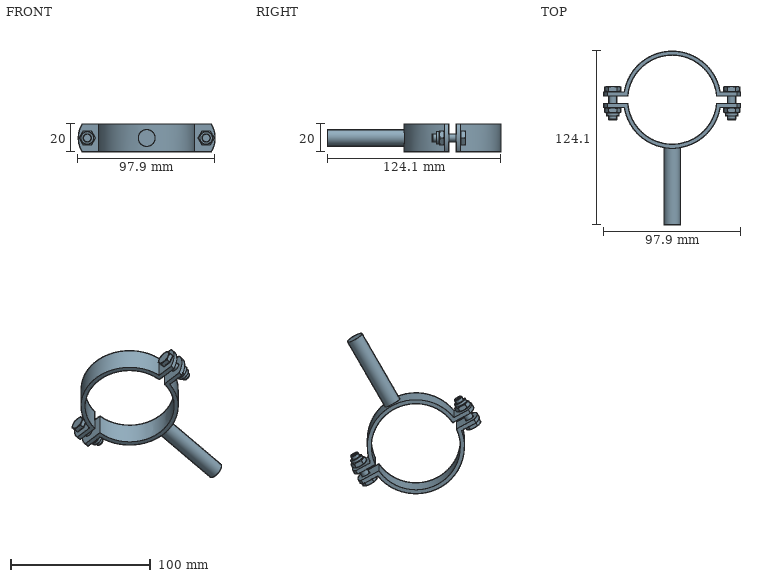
import cadquery as cq
import math

ring_outer_radius = 34.8
plate_thickness = 3.0
ring_inner_radius = ring_outer_radius - plate_thickness
band_width = 20.0
clamp_gap = 5.2
ear_inner_y = clamp_gap / 2
ear_outer_y = ear_inner_y + plate_thickness
ear_tip_x = 48.97
ear_end_bulge = 2.9
bolt_hole_diameter = 6.5

rod_diameter = 12.0
rod_end_y = ring_outer_radius - 124.1

bolt_x = 42.5
hex_across_flats = 10.0
hex_across_corners = hex_across_flats / math.cos(math.pi / 6)
head_face_diameter = 9.4
head_chamfer_height = 0.4
washer_face_diameter = 8.7
washer_face_height = 0.4
bolt_diameter = 6.0
bolt_tip_diameter = 5.5
bolt_tip_chamfer_length = 0.6
bolt_head_height = 3.8
bolt_shank_length = 20.1
nut_height = 6.0
nut_hex_height = 4.0
nut_collar_diameter = 8.9
nut_chamfer_height = 0.7


def cylinder_along_y(diameter, start_y, end_y):
    """Cylinder on the Y axis between two Y positions, with start_y < end_y."""
    return cq.Workplane("XZ", origin=(0, end_y, 0)).circle(diameter / 2).extrude(end_y - start_y)


def make_hexagon(start_y, end_y):
    """Hexagonal prism on the Y axis between two Y positions, with start_y < end_y."""
    return (
        cq.Workplane("XZ", origin=(0, end_y, 0))
        .polygon(6, hex_across_corners)
        .extrude(end_y - start_y)
    )


def chamfer_corners(hexagon, face_selector, start_y, end_y, face_diameter, chamfer_height):
    """Bevel the corners of a hexagonal prism with a cone at each selected end."""
    cone_depth = (hex_across_corners - face_diameter) / 2
    envelope = (
        cylinder_along_y(hex_across_corners, start_y, end_y)
        .faces(face_selector)
        .chamfer(chamfer_height, cone_depth)
    )
    return hexagon.intersect(envelope)


def make_ear_plate():
    """Plate with rounded ends that spans both ears of the upper clamp half."""
    corner_x = ear_tip_x - ear_end_bulge
    half_width = band_width / 2
    return (
        cq.Workplane("XZ", origin=(0, ear_outer_y, 0))
        .moveTo(-corner_x, -half_width)
        .lineTo(corner_x, -half_width)
        .threePointArc((ear_tip_x, 0), (corner_x, half_width))
        .lineTo(-corner_x, half_width)
        .threePointArc((-ear_tip_x, 0), (-corner_x, -half_width))
        .close()
        .extrude(plate_thickness)
    )


def make_upper_clamp():
    """Half ring with an ear at each end, drilled for the bolts."""
    disc = cq.Workplane("XY").circle(ring_outer_radius).extrude(band_width / 2, both=True)
    bore = cq.Workplane("XY").circle(ring_inner_radius).extrude(band_width / 2, both=True)
    upper_side = (
        cq.Workplane("XY")
        .box(2 * ring_outer_radius, ring_outer_radius, band_width, centered=(True, False, True))
        .translate((0, ear_inner_y, 0))
    )
    clamp = disc.intersect(upper_side).union(make_ear_plate()).cut(bore)
    for side in (-1, 1):
        hole = cylinder_along_y(bolt_hole_diameter, ear_inner_y, ear_outer_y)
        clamp = clamp.cut(hole.translate((side * bolt_x, 0, 0)))
    return clamp


def make_lower_clamp():
    """Mirror image of the upper clamp half, with the rod fixed to its ring."""
    bore = cq.Workplane("XY").circle(ring_inner_radius).extrude(band_width / 2, both=True)
    rod = cylinder_along_y(rod_diameter, rod_end_y, -ring_inner_radius / 2).cut(bore)
    return make_upper_clamp().mirror("XZ").union(rod)


def make_bolt(x):
    """Hexagon bolt with the washer face of its head on the upper ear and its tip toward -Y."""
    head_start_y = ear_outer_y + washer_face_height
    head_end_y = ear_outer_y + bolt_head_height
    head = chamfer_corners(
        make_hexagon(head_start_y, head_end_y),
        ">Y", head_start_y, head_end_y, head_face_diameter, head_chamfer_height,
    )
    washer_face = cylinder_along_y(washer_face_diameter, ear_outer_y, head_start_y)
    tip_y = ear_outer_y - bolt_shank_length
    tip_chamfer_depth = (bolt_diameter - bolt_tip_diameter) / 2
    shank = (
        cylinder_along_y(bolt_diameter, tip_y, ear_outer_y)
        .faces("<Y")
        .chamfer(bolt_tip_chamfer_length, tip_chamfer_depth)
    )
    return head.union(washer_face).union(shank).translate((x, 0, 0))


def make_nut(x):
    """Lock nut against the lower ear, with a round collar toward -Y."""
    seat_y = -ear_outer_y
    end_y = seat_y - nut_height
    hex_end_y = seat_y - nut_hex_height
    hexagon = chamfer_corners(
        make_hexagon(hex_end_y, seat_y),
        "<Y or >Y", hex_end_y, seat_y, nut_collar_diameter, nut_chamfer_height,
    )
    collar = cylinder_along_y(nut_collar_diameter, end_y, seat_y)
    bore = cylinder_along_y(bolt_diameter, end_y, seat_y)
    return hexagon.union(collar).cut(bore).translate((x, 0, 0))


upper_clamp = make_upper_clamp()
lower_clamp = make_lower_clamp()
bolts = []
nuts = []
for side in (-1, 1):
    bolts.append(make_bolt(side * bolt_x).val())
    nuts.append(make_nut(side * bolt_x).val())

result = cq.Compound.makeCompound([upper_clamp.val(), lower_clamp.val(), *bolts, *nuts])